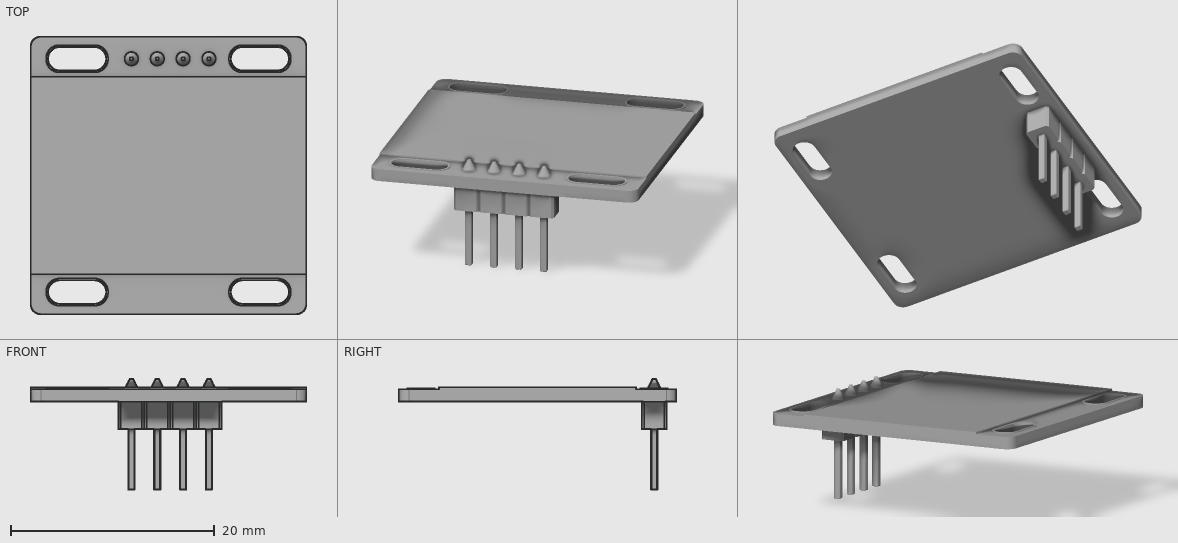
import cadquery as cq

board_x = 27.05
board_y = 27.25
board_thickness = 1.23
corner_radius = 1.0

panel_y = 19.35
panel_thickness = 0.2

slot_length = 5.7
slot_width = 2.3
slot_center_x = 8.97
slot_edge_distance = 2.18
slot_center_y = board_y / 2 - slot_edge_distance
rim_width = 0.2
rim_height = 0.1

pin_count = 4
pin_pitch = 2.53
header_offset_x = 0.15
header_center_y = slot_center_y
housing_depth = 2.48
housing_height = 2.7
housing_chamfer = 0.25
pin_width = 0.65
pin_length = 5.97
pin_chamfer = 0.068

joint_base_diameter = 1.34
joint_tip_diameter = 0.33
joint_height = 1.0

slot_centers = [(sx * slot_center_x, sy * slot_center_y) for sx in (-1, 1) for sy in (-1, 1)]
pin_positions = [
    header_offset_x + (i - (pin_count - 1) / 2) * pin_pitch for i in range(pin_count)
]


def make_board():
    """Rounded plate with the display panel and slot rims, cut by the four slots."""
    plate = cq.Workplane("XY").box(board_x, board_y, board_thickness, centered=(True, True, False))
    plate = plate.edges("|Z").fillet(corner_radius)
    top = cq.Workplane("XY").workplane(offset=board_thickness)
    panel = top.rect(board_x, panel_y).extrude(panel_thickness)
    rims = (
        top.pushPoints(slot_centers)
        .slot2D(slot_length + 2 * rim_width, slot_width + 2 * rim_width)
        .extrude(rim_height)
    )
    slots = (
        cq.Workplane("XY")
        .pushPoints(slot_centers)
        .slot2D(slot_length, slot_width)
        .extrude(board_thickness + rim_height)
    )
    return plate.union(panel).union(rims).cut(slots)


def make_housing(x):
    """Plastic header block with chamfered upright edges, hanging under the board."""
    block = cq.Workplane("XY").center(x, header_center_y).rect(pin_pitch, housing_depth)
    return block.extrude(-housing_height).edges("|Z").chamfer(housing_chamfer)


def make_pin(x):
    """Square pin with bevelled edges and tip, rooted inside the header block."""
    pin = cq.Workplane("XY").center(x, header_center_y).rect(pin_width, pin_width)
    pin = pin.extrude(-(housing_height + pin_length))
    return pin.edges("|Z").chamfer(pin_chamfer).faces("<Z").chamfer(pin_chamfer)


def make_solder_joint(x):
    """Tapered solder joint on the board's top face."""
    profile = (
        cq.Workplane("XZ")
        .lineTo(joint_base_diameter / 2, 0)
        .lineTo(joint_tip_diameter / 2, joint_height)
        .lineTo(0, joint_height)
        .close()
    )
    return profile.revolve(360, (0, 0), (0, 1)).translate((x, header_center_y, board_thickness))


result = make_board()
for pin_x in pin_positions:
    result = result.union(make_housing(pin_x))
    result = result.union(make_pin(pin_x))
    result = result.union(make_solder_joint(pin_x))